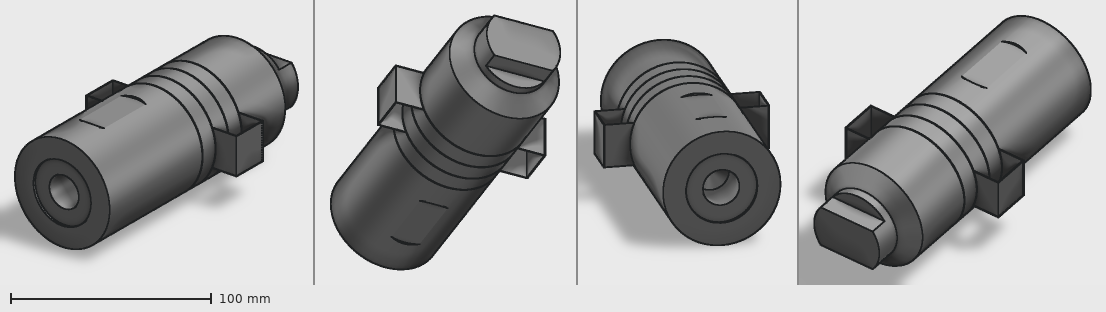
import cadquery as cq
import math


total_length = 165.0
body_radius = 30.0
cone_start_y = 142.0
cone_end_y = 150.0
spigot_radius = 20.15

flat_half_height = 12.2
flat_length = 10.0

recess_radius = 18.2
recess_depth = 1.5
bore_radius = 9.3
bore_depth = 25.0
drill_point_angle = 118.0

spot_radius = 18.5
spot_center_y = 40.8
spot_depth = 1.0
spot_cutter_height = 2 * spot_depth

sheet = 0.5
ring_radius = 60.01 / 2
loop_reach = 86.83 / 2
loop_half_height = 11.2
band_pitch = 21.2
left_band_y = 74.8
right_band_y = 85.3


def box_between(x_range, y_range, z_range):
    """Axis-aligned box spanning the three given ranges."""
    sizes = [high - low for low, high in (x_range, y_range, z_range)]
    corner = (x_range[0], y_range[0], z_range[0])
    return cq.Workplane("XY", origin=corner).box(*sizes, centered=False)


def make_body():
    """Body with a conical shoulder and a rear spigot, ringed by the barely raised bands."""
    ring_starts = [left_band_y, right_band_y, left_band_y + band_pitch, right_band_y + band_pitch]
    profile = [(0, 0), (body_radius, 0)]
    for start_y in ring_starts:
        end_y = start_y + sheet
        profile += [(body_radius, start_y), (ring_radius, start_y), (ring_radius, end_y), (body_radius, end_y)]
    profile += [
        (body_radius, cone_start_y),
        (spigot_radius, cone_end_y),
        (spigot_radius, total_length),
        (0, total_length),
    ]
    return cq.Workplane("XY").polyline(profile).close().revolve(360, (0, 0, 0), (0, 1, 0))


def make_bore():
    """Front recess followed by the blind bore and its drill point."""
    point_length = bore_radius / math.tan(math.radians(drill_point_angle / 2))
    profile = [
        (0, 0),
        (recess_radius, 0),
        (recess_radius, recess_depth),
        (bore_radius, recess_depth),
        (bore_radius, bore_depth),
        (0, bore_depth + point_length),
    ]
    return cq.Workplane("XY").polyline(profile).close().revolve(360, (0, 0, 0), (0, 1, 0))


def make_spigot_flat(side):
    """Material above (side = 1) or below (side = -1) the spigot."""
    z_range = sorted((side * flat_half_height, side * body_radius))
    y_range = (total_length - flat_length, total_length)
    return box_between((-body_radius, body_radius), y_range, z_range)


def make_spot_face(side):
    """Round cutter that leaves a shallow flat on the top (1) or bottom (-1)."""
    floor_z = side * (body_radius - spot_depth)
    cutter = cq.Workplane("XY", origin=(0, spot_center_y, floor_z))
    return cutter.circle(spot_radius).extrude(side * spot_cutter_height)


def make_loop(side, start_y):
    """Sheet loop on the +X (side = 1) or -X (side = -1) side, open at top and bottom."""
    height = (-loop_half_height, loop_half_height)
    end_y = start_y + band_pitch + sheet
    outer_x = sorted((0, side * loop_reach))
    inner_x = sorted((0, side * (loop_reach - sheet)))
    outer = box_between(outer_x, (start_y, end_y), height)
    inner = box_between(inner_x, (start_y + sheet, end_y - sheet), height)
    return outer.cut(inner)


result = make_body()
result = result.union(make_loop(-1, left_band_y), clean=False)
result = result.union(make_loop(1, right_band_y), clean=False)
result = result.cut(make_bore(), clean=False)
for side in (1, -1):
    result = result.cut(make_spigot_flat(side), clean=False)
    result = result.cut(make_spot_face(side), clean=False)